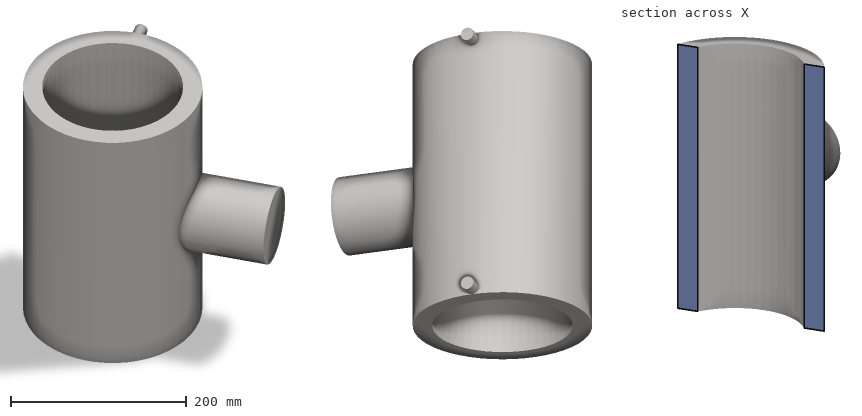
import cadquery as cq

tube_height = 320.0
tube_diameter = 204.0
bore_diameter = 160.0

branch_diameter = 90.0
branch_reach = 191.0

pin_diameter = 15.0
pin_reach = 119.0

pin_inset = pin_diameter / 2
pin_heights = (pin_inset, tube_height - pin_inset)


def side_cylinder(diameter, reach, height, direction):
    """Cylinder from the tube axis outwards at the given height."""
    start = cq.Vector(0, 0, height)
    return cq.Workplane(cq.Solid.makeCylinder(diameter / 2, reach, start, direction))


body = cq.Workplane("XY").circle(tube_diameter / 2).extrude(tube_height)
body = body.union(side_cylinder(branch_diameter, branch_reach, tube_height / 2, cq.Vector(1, 0, 0)))

for pin_height in pin_heights:
    body = body.union(side_cylinder(pin_diameter, pin_reach, pin_height, cq.Vector(0, 1, 0)))

bore = cq.Workplane("XY").circle(bore_diameter / 2).extrude(tube_height)
result = body.cut(bore)